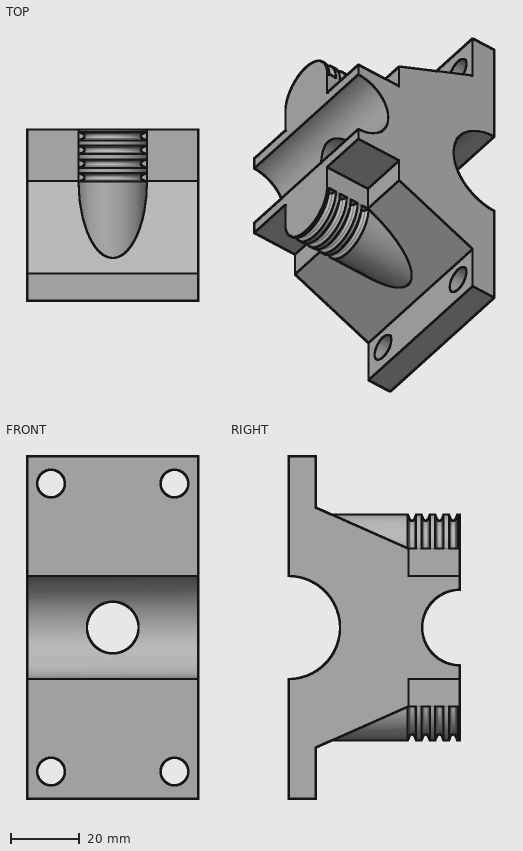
import cadquery as cq
import math

width = 50.0
depth = 50.0
height = 100.0
plate_thickness = 8.0
slope_top = 35.0
ledge_start = 35.0
ledge_height = 15.0
boss_radius = 10.0
boss_height = 23.0

front_channel_radius = 15.0
rear_channel_radius = 11.0
centre_hole_diameter = 15.0
bolt_hole_diameter = 8.0
bolt_spacing_x = 36.0
bolt_spacing_z = 84.0

groove_count = 4
groove_pitch = 4.0
first_groove_inset = 2.0
groove_width = 2.5
groove_depth = 1.8
groove_tip_radius = 0.8


def make_body():
    """Plate and tapered block extruded across the full width."""
    upper = [
        (0, height / 2),
        (plate_thickness, height / 2),
        (plate_thickness, slope_top),
        (ledge_start, boss_height),
        (ledge_start, ledge_height),
        (depth, ledge_height),
    ]
    lower = [(y, -z) for y, z in reversed(upper)]
    outline = cq.Workplane("YZ").polyline(upper + lower).close()
    return outline.extrude(width / 2, both=True)


def make_groove_cutter(groove_y):
    """Ring with straight flanks tangent to a round bottom, about the Y axis."""
    tip_centre = boss_radius - groove_depth + groove_tip_radius
    rise = boss_radius - tip_centre
    half_width = groove_width / 2
    reach = math.hypot(half_width, rise)
    normal_angle = math.pi - math.atan2(half_width, rise) - math.acos(groove_tip_radius / reach)
    tangent_r = tip_centre - groove_tip_radius * math.cos(normal_angle)
    tangent_y = groove_tip_radius * math.sin(normal_angle)
    outer_r = boss_radius + 1
    return (
        cq.Workplane("XY")
        .moveTo(outer_r, groove_y - half_width)
        .lineTo(boss_radius, groove_y - half_width)
        .lineTo(tangent_r, groove_y - tangent_y)
        .threePointArc((boss_radius - groove_depth, groove_y), (tangent_r, groove_y + tangent_y))
        .lineTo(boss_radius, groove_y + half_width)
        .lineTo(outer_r, groove_y + half_width)
        .close()
        .revolve(360, (0, 0, 0), (0, 1, 0))
    )


def make_boss():
    """Upper boss: a grooved cylinder on a pedestal of the same width."""
    boss_length = depth - plate_thickness
    boss = cq.Workplane("XZ", origin=(0, depth, 0)).circle(boss_radius).extrude(boss_length)
    for index in range(groove_count):
        groove_y = depth - first_groove_inset - index * groove_pitch
        boss = boss.cut(make_groove_cutter(groove_y))
    boss = boss.translate((0, 0, boss_height))
    pedestal = cq.Workplane("XY").box(
        2 * boss_radius, depth - ledge_start, boss_height - ledge_height, centered=(True, False, False)
    )
    return boss.union(pedestal.translate((0, ledge_start, ledge_height)))


def cross_channel(y, radius):
    return cq.Workplane("YZ").center(y, 0).circle(radius).extrude(width / 2, both=True)


boss = make_boss()
result = make_body().union(boss).union(boss.mirror("XY"))

result = result.cut(cross_channel(0, front_channel_radius))
result = result.cut(cross_channel(depth, rear_channel_radius))

centre_hole = cq.Workplane("XZ").circle(centre_hole_diameter / 2).extrude(-depth)
bolt_holes = (
    cq.Workplane("XZ")
    .rarray(bolt_spacing_x, bolt_spacing_z, 2, 2)
    .circle(bolt_hole_diameter / 2)
    .extrude(-plate_thickness)
)
result = result.cut(centre_hole).cut(bolt_holes)